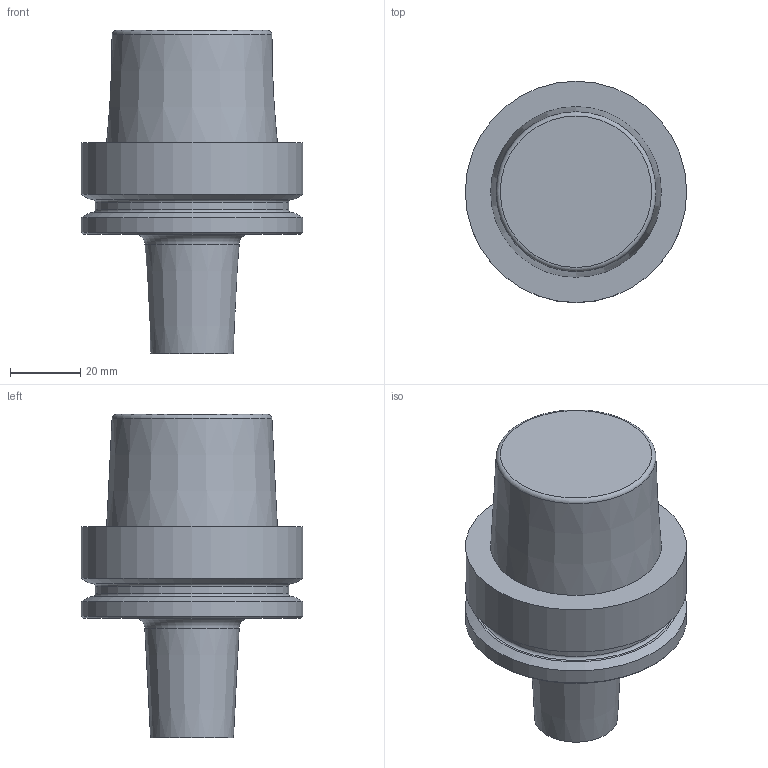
import cadquery as cq
import math

nose_length = 34.0
flange_height = 26.0
shank_length = 32.0
flange_bottom_z = nose_length
flange_top_z = flange_bottom_z + flange_height
shank_top_z = flange_top_z + shank_length

nose_tip_radius = 23.6 / 2
nose_half_angle = math.radians(3.0)
nose_root_radius = nose_tip_radius + nose_length * math.tan(nose_half_angle)
nose_root_fillet = 3.0

flange_radius = 63.0 / 2
flange_chamfer = 0.5

groove_centre_z = flange_top_z - 18.0
groove_mouth_width = 6.6
groove_inner_width = 3.7
groove_wall_angle = math.radians(30.0)
groove_wall_rise = (groove_mouth_width - groove_inner_width) / 2
groove_ledge_radius = flange_radius - groove_wall_rise / math.tan(groove_wall_angle)
groove_floor_radius = 55.0 / 2
groove_floor_fillet = 0.8

shank_base_radius = 48.6 / 2
shank_taper = 1 / 10
shank_top_radius = shank_base_radius - shank_length * shank_taper / 2
shank_top_fillet = 1.2


def revolve_profile(points):
    """Solid of revolution about Z from a closed outline of (radius, z) points."""
    return cq.Workplane("YZ").polyline(points).close().revolve(360, (0, 0), (0, 1))


def make_cone(bottom_radius, top_radius, bottom_z, top_z):
    """Solid cone frustum around the Z axis."""
    return revolve_profile([
        (0, bottom_z),
        (bottom_radius, bottom_z),
        (top_radius, top_z),
        (0, top_z),
    ])


def make_groove_cutter():
    """Ring-shaped cutter for the gripper groove, filleted at the floor corners."""
    inner_half = groove_inner_width / 2
    mouth_half = groove_mouth_width / 2
    half_outline = [
        (groove_floor_radius, inner_half),
        (groove_ledge_radius, inner_half),
        (flange_radius, mouth_half),
    ]
    upper = [(radius, groove_centre_z + offset) for radius, offset in half_outline]
    lower = [(radius, groove_centre_z - offset) for radius, offset in half_outline]
    cutter = revolve_profile(upper + lower[::-1])
    floor_corners = cq.selectors.RadiusNthSelector(0)
    return cutter.edges("%CIRCLE").edges(floor_corners).fillet(groove_floor_fillet)


def make_flange():
    """Flange disc with a chamfered lower rim and the gripper groove."""
    disc = make_cone(flange_radius, flange_radius, flange_bottom_z, flange_top_z)
    disc = disc.faces("<Z").edges().chamfer(flange_chamfer)
    return disc.cut(make_groove_cutter())


def make_shank():
    """Tapered shank with a rounded top edge."""
    shank = make_cone(shank_base_radius, shank_top_radius, flange_top_z, shank_top_z)
    return shank.faces(">Z").edges().fillet(shank_top_fillet)


def blend_nose_root(body):
    """Fillet the inside corner between the nose and the flange underside."""
    reach = nose_root_radius + nose_root_fillet
    root_zone = cq.selectors.BoxSelector(
        (-reach, -reach, flange_bottom_z - nose_root_fillet),
        (reach, reach, flange_bottom_z + nose_root_fillet),
        boundingbox=True,
    )
    return body.edges(root_zone).edges("%CIRCLE").fillet(nose_root_fillet)


nose = make_cone(nose_tip_radius, nose_root_radius, 0, flange_bottom_z)
result = blend_nose_root(make_flange().union(nose).union(make_shank()))